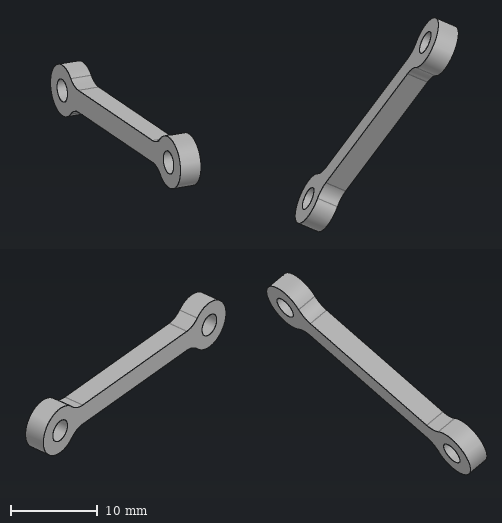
import cadquery as cq

length = 33.78
thickness = 2.67
eye_diameter = 6.2
hole_diameter = 2.7
bar_width = 2.7
neck_radius = 2.7

eye_spacing = length - eye_diameter
eye_centers = [(-eye_spacing / 2, 0), (eye_spacing / 2, 0)]


def make_plate():
    """Straight bar joined to a round eye at each end."""
    bar = cq.Workplane("XZ").rect(eye_spacing, bar_width).extrude(thickness / 2, both=True)
    eyes = (
        cq.Workplane("XZ")
        .pushPoints(eye_centers)
        .circle(eye_diameter / 2)
        .extrude(thickness / 2, both=True)
    )
    return bar.union(eyes).clean()


def blend_necks(plate):
    """Round the four inner corners where the bar meets the eyes."""
    neck_zone = cq.selectors.BoxSelector(
        (-eye_spacing / 2 + hole_diameter / 2, -thickness, -eye_diameter),
        (eye_spacing / 2 - hole_diameter / 2, thickness, eye_diameter),
    )
    return plate.edges("|Y").edges(neck_zone).fillet(neck_radius)


def drill_eyes(plate):
    """Bore a through hole in the middle of each eye."""
    holes = (
        cq.Workplane("XZ")
        .pushPoints(eye_centers)
        .circle(hole_diameter / 2)
        .extrude(thickness, both=True)
    )
    return plate.cut(holes)


result = drill_eyes(blend_necks(make_plate()))